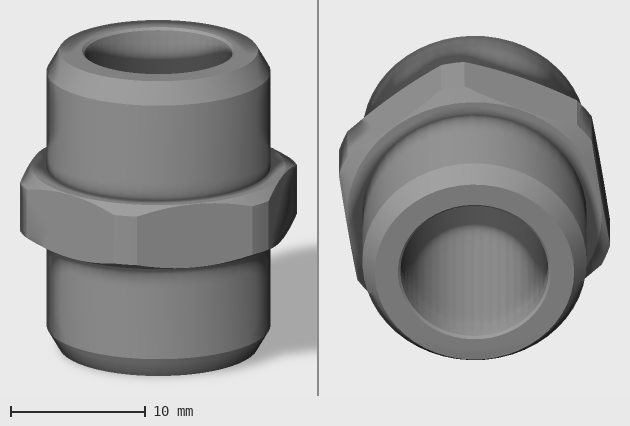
import cadquery as cq
import math

total_length = 23.0
hex_across_flats = 19.0
hex_across_corners = 21.0
hex_face_diameter = 18.9
hex_thickness = 5.0
bevel_angle = math.radians(30)

end_diameter = 16.65
tip_length = 1.6
bore_diameter = 11.0
bore_mouth_diameter = 11.36

end_radius = end_diameter / 2
tip_radius = end_radius - tip_length * math.tan(bevel_angle)
half_length = total_length / 2
half_hex = hex_thickness / 2


def revolve_profile(points):
    """Turn a (radius, height) outline about the Z axis."""
    return cq.Workplane("XZ").polyline(points).close().revolve(360, (0, 0, 0), (0, 1, 0))


def make_hex_collar():
    """Hexagon with rounded corners and conical bevels on both faces; corners point along X."""
    sharp_corner_diameter = hex_across_flats / math.cos(math.radians(30))
    prism = (
        cq.Workplane("XY")
        .polygon(6, sharp_corner_diameter)
        .extrude(half_hex, both=True)
    )
    face_radius = hex_face_diameter / 2
    corner_radius = hex_across_corners / 2
    corner_height = half_hex - (corner_radius - face_radius) * math.tan(bevel_angle)
    envelope = revolve_profile([
        (0, -half_hex),
        (face_radius, -half_hex),
        (corner_radius, -corner_height),
        (corner_radius, corner_height),
        (face_radius, half_hex),
        (0, half_hex),
    ])
    return prism.intersect(envelope)


def make_upper_end():
    """Cylindrical end with a tapered tip."""
    return revolve_profile([
        (0, 0),
        (end_radius, 0),
        (end_radius, half_length - tip_length),
        (tip_radius, half_length),
        (0, half_length),
    ])


def make_bore():
    """Through bore with a 45 degree bevel at both mouths."""
    bore_radius = bore_diameter / 2
    mouth_radius = bore_mouth_diameter / 2
    bevel_start = half_length - (mouth_radius - bore_radius)
    return revolve_profile([
        (0, -half_length),
        (mouth_radius, -half_length),
        (bore_radius, -bevel_start),
        (bore_radius, bevel_start),
        (mouth_radius, half_length),
        (0, half_length),
    ])


upper_end = make_upper_end()
lower_end = upper_end.mirror("XY")
result = make_hex_collar().union(upper_end).union(lower_end).cut(make_bore())